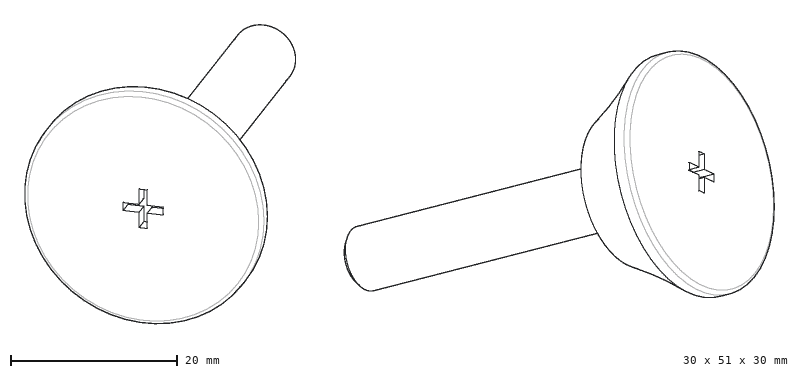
import cadquery as cq

total_length = 51.0
pad_diameter = 30.0
stud_diameter = 8.0

rim_height = 2.0
rim_fillet = 0.5
foot_height = 11.0
shoulder_diameter = 19.0
flank_hollow = 0.25

tip_chamfer = 0.75

cross_length = 5.0
cross_width = 1.0
cross_depth = 2.0

pad_radius = pad_diameter / 2
stud_radius = stud_diameter / 2
shoulder_radius = shoulder_diameter / 2


def make_foot():
    """Revolve the half profile of the foot about the Y axis."""
    flank_middle = (
        (pad_radius + shoulder_radius) / 2 - flank_hollow,
        (rim_height + foot_height) / 2,
    )
    profile = (
        cq.Workplane("XY")
        .lineTo(pad_radius, 0)
        .lineTo(pad_radius, rim_height)
        .threePointArc(flank_middle, (shoulder_radius, foot_height))
        .lineTo(0, foot_height)
        .close()
    )
    foot = profile.revolve(360, (0, 0), (0, 1))
    return foot.faces("<Y").edges().fillet(rim_fillet)


def make_stud():
    """Cylinder from the foot shoulder to the far end, chamfered at its tip."""
    stud = (
        cq.Workplane("XZ", origin=(0, foot_height, 0))
        .circle(stud_radius)
        .extrude(foot_height - total_length)
    )
    return stud.faces(">Y").edges().chamfer(tip_chamfer)


def make_cross_recess():
    """Two crossed slots sunk into the pad face."""
    across = cq.Workplane("XZ").rect(cross_length, cross_width).extrude(-cross_depth)
    upright = cq.Workplane("XZ").rect(cross_width, cross_length).extrude(-cross_depth)
    return across.union(upright)


result = make_foot().union(make_stud()).cut(make_cross_recess())